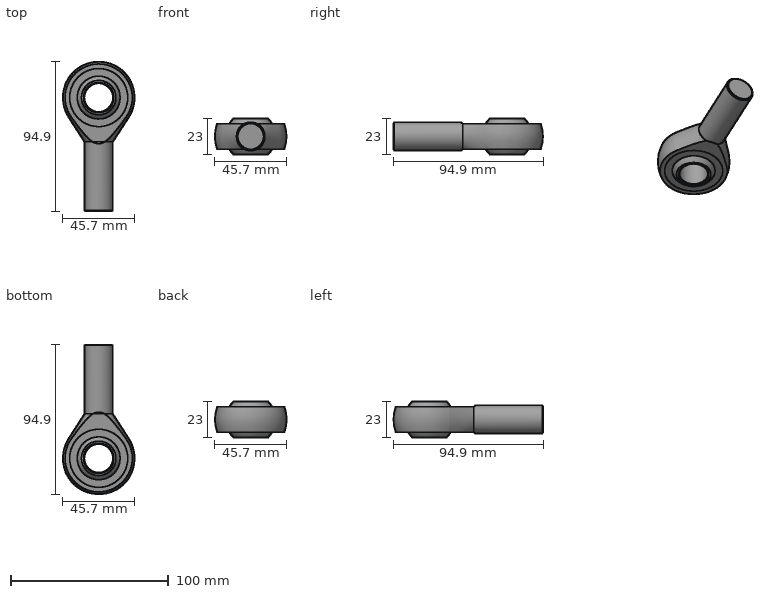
import cadquery as cq
import math

overall_length = 94.9
head_diameter = 45.7
head_radius = head_diameter / 2
head_thickness = 16.3
shank_radius = 9.0
neck_end = 28.1
shank_end = overall_length - head_radius
step_run = 1.1
tip_chamfer_radial = 0.9
tip_chamfer_axial = 0.6
race_radius = 18.4
ball_radius = 15.9
ball_width = 23.0
bore_radius = 9.0
bore_chamfer = 0.6

half_thickness = head_thickness / 2
half_width = ball_width / 2


def tangent_angle(radius, distance, offset):
    """Angle from the shank axis of the sphere radius whose tangent meets (offset, distance)."""
    return math.atan2(offset, distance) + math.acos(radius / math.hypot(offset, distance))


def make_shank_and_head():
    """Revolve the spherical head, tangent conical neck and shank about the Y axis."""
    angle = tangent_angle(head_radius, neck_end, shank_radius)
    tangent_point = (head_radius * math.sin(angle), -head_radius * math.cos(angle))
    return (
        cq.Workplane("XY")
        .moveTo(0, head_radius)
        .threePointArc((head_radius, 0), tangent_point)
        .lineTo(shank_radius, -neck_end)
        .lineTo(shank_radius, -shank_end + tip_chamfer_axial)
        .lineTo(shank_radius - tip_chamfer_radial, -shank_end)
        .lineTo(0, -shank_end)
        .close()
        .revolve(360, (0, 0, 0), (0, 1, 0))
    )


def make_face_cutter():
    """Block that flattens the upper head face and ends in a slope up to the shank."""
    height = head_radius - half_thickness
    slope_length = height * step_run / (shank_radius - half_thickness)
    return (
        cq.Workplane("YZ")
        .moveTo(head_radius, half_thickness)
        .lineTo(-neck_end, half_thickness)
        .lineTo(-neck_end - slope_length, half_thickness + height)
        .lineTo(head_radius, half_thickness + height)
        .close()
        .extrude(head_radius, both=True)
    )


def make_housing():
    face_cutter = make_face_cutter()
    race_seat = cq.Workplane("XY").circle(race_radius).extrude(half_thickness, both=True)
    return (
        make_shank_and_head()
        .cut(face_cutter)
        .cut(face_cutter.mirror("XY"))
        .cut(race_seat)
    )


def make_race():
    """Ring flush with the head faces, with a spherical seat for the ball."""
    ring = cq.Workplane("XY").circle(race_radius).extrude(half_thickness, both=True)
    return ring.cut(cq.Workplane("XY").sphere(ball_radius))


def make_ball():
    """Truncated sphere with a through bore chamfered at both ends."""
    slab = cq.Workplane("XY").circle(ball_radius).extrude(half_width, both=True)
    bore = (
        cq.Workplane("XZ")
        .moveTo(0, -half_width)
        .lineTo(bore_radius + bore_chamfer, -half_width)
        .lineTo(bore_radius, -half_width + bore_chamfer)
        .lineTo(bore_radius, half_width - bore_chamfer)
        .lineTo(bore_radius + bore_chamfer, half_width)
        .lineTo(0, half_width)
        .close()
        .revolve(360, (0, 0, 0), (0, 1, 0))
    )
    return cq.Workplane("XY").sphere(ball_radius).intersect(slab).cut(bore)


housing = make_housing()
race = make_race()
ball = make_ball()

result = cq.Compound.makeCompound([housing.solids().val(), race.solids().val(), ball.solids().val()])